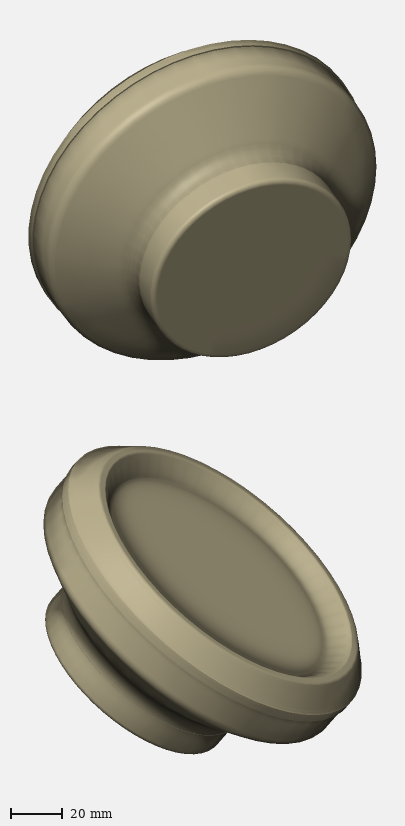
import cadquery as cq
import math


ring_back = 12.6
ring_radius = 140.89 / 2
band_flat_start = 11.4
crown_drop = 0.1

rim_inner_radius = 59.2
rim_outer_radius = 61.4
outer_lip = (0.35, 62.4)
inner_lip = (0.45, 58.4)

outer_bevel_start = (1.75, 63.75)
outer_bevel_end = (7.65, 69.05)
outer_shoulder = (8.5, 69.85)
band_start = (8.9, ring_radius - crown_drop)

inner_bevel_start = (1.35, 57.5)
inner_bevel_end = (6.4, 52.6)
bore_start = 6.9
bore_radius = 52.05

floor_depth = 7.35
floor_radius = 50.4
bell_length = 63.06
drum_radius = 139.5 / 2
neck_radius = 84.6 / 2
collar_radius = 85.0 / 2
cone_start = 26.8
cone_end = 45.94
drum_fillet = 5.0
neck_fillet = 8.0
collar_start = 51.15
collar_fillet = 2.0


def turned(profile):
    """Close a profile and revolve it about the X axis into a solid."""
    return profile.close().revolve(360, (0, 0, 0), (1, 0, 0))


def make_ring():
    crown_middle = ((band_start[0] + band_flat_start) / 2, ring_radius - crown_drop / 4)
    profile = (
        cq.Workplane("XY")
        .moveTo(ring_back, bore_radius)
        .lineTo(bore_start, bore_radius)
        .lineTo(*inner_bevel_end)
        .lineTo(*inner_bevel_start)
        .lineTo(*inner_lip)
        .tangentArcPoint((0, rim_inner_radius), relative=False)
        .lineTo(0, rim_outer_radius)
        .tangentArcPoint(outer_lip, relative=False)
        .lineTo(*outer_bevel_start)
        .lineTo(*outer_bevel_end)
        .lineTo(*outer_shoulder)
        .tangentArcPoint(band_start, relative=False)
        .threePointArc(crown_middle, (band_flat_start, ring_radius))
        .lineTo(ring_back, ring_radius)
    )
    return turned(profile)


def make_bell():
    cone_angle = math.atan2(drum_radius - neck_radius, cone_end - cone_start)
    along, inward = math.cos(cone_angle), math.sin(cone_angle)
    drum_tangent = drum_fillet * math.tan(cone_angle / 2)
    neck_tangent = neck_fillet * math.tan(cone_angle / 2)
    profile = (
        cq.Workplane("XY")
        .moveTo(floor_depth, 0)
        .lineTo(floor_depth, floor_radius)
        .tangentArcPoint((bore_start, bore_radius), relative=False)
        .lineTo(ring_back, bore_radius)
        .lineTo(ring_back, drum_radius)
        .lineTo(cone_start - drum_tangent, drum_radius)
        .tangentArcPoint(
            (cone_start + drum_tangent * along, drum_radius - drum_tangent * inward), relative=False
        )
        .lineTo(cone_end - neck_tangent * along, neck_radius + neck_tangent * inward)
        .tangentArcPoint((cone_end + neck_tangent, neck_radius), relative=False)
        .lineTo(collar_start, neck_radius)
        .lineTo(collar_start, collar_radius)
        .lineTo(bell_length - collar_fillet, collar_radius)
        .tangentArcPoint((bell_length, collar_radius - collar_fillet), relative=False)
        .lineTo(bell_length, 0)
    )
    return turned(profile)


ring = make_ring()
bell = make_bell()

result = cq.Compound.makeCompound([ring.val(), bell.val()])